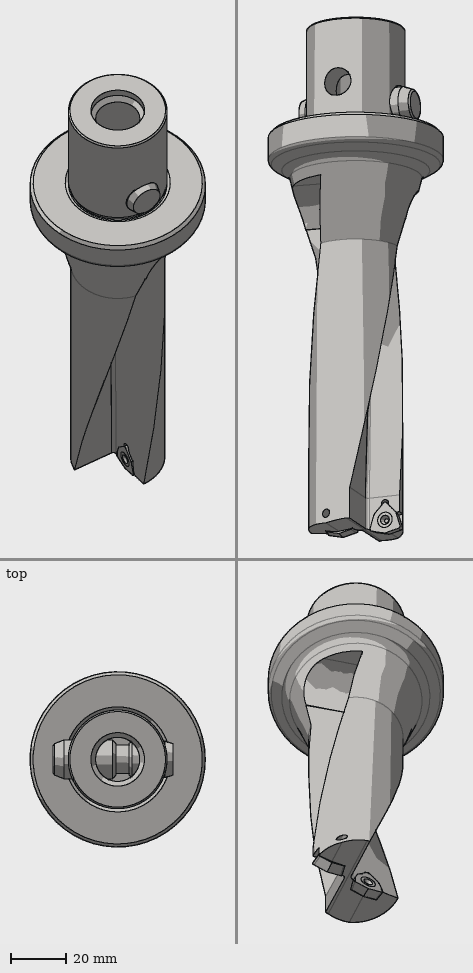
import cadquery as cq
import math

total_height = 190.0
flange_top = 150.7
flange_rim_bottom = 141.2
flange_round_bottom = 139.5
flange_slope_bottom = 137.2
cone_top = 134.3
cone_bottom = 106.8
body_bottom = 1.3

end_slope = 0.11

shank_radius = 17.9
flange_radius = 31.7
flange_round_radius = 30.5
flange_slope_radius = 26.8
cone_top_radius = 24.0
drill_radius = 17.1

shank_chamfer = 0.5
flange_chamfer = 1.1
groove_outer_radius = 19.0
groove_depth = 0.5
undercut = 0.5
undercut_top = 151.6

bore_radius = 8.0
counterbore_radius = 9.7
counterbore_depth = 2.8
bore_cone_depth = 1.7
bore_bottom = 151.5

pin_height = 159.5
pin_radius = 7.0
pin_hole_height = 159.6
pin_hole_radius = 7.5
hole_step_x = 0.2
pin_face_x = -23.4
pin_face_radius = 5.0
pin_round_x = -22.8
pin_round_radius = 5.7
pin_cone_x = -19.4
pin_shoulder_x = -0.5
pin_chamfer = 1.3
stud_radius = 5.1
stud_end_x = 11.4
nut_radius = 6.6
nut_face_radius = 5.7
nut_start_x = 4.2
nut_chamfer = 1.0
nut_cone_x = 17.1
nut_face_x = 20.0

side_hole_radius = 5.1
side_hole_height = 166.0

flute_corner_round = 1.1
flute_reach = 3.0
flute_sections = 7
flute_overrun = 1.9
flute_top = 130.3
runout_radius = 13.3
runout_start = flute_top - runout_radius

far = 76.0

insert_center_height = 5.0
insert_corner_distance = 7.0
insert_corner_round = 0.8
insert_thickness = 4.0
insert_clearance_angle = 7
pocket_relief_radius = 1.3
pocket_relief_offset = 6.3
screw_head_radius = 2.8
screw_shaft_radius = 1.5
screw_head_depth = 2.5
screw_length = 10.5
screw_tip_chamfer = 0.8
screw_socket_radius = 1.7
screw_socket_floor_radius = 0.8
screw_socket_depth = 1.5

insert_seats = [
    {"offset": 5.0, "turn": 0, "open_side": False},
    {"offset": 11.4, "turn": 180, "open_side": True},
]

flutes = [
    {
        "turn": 0,
        "corner_x": -2.3,
        "start": 0.0,
        "wall_angle": -99.5,
        "rake_twist": 0.6053,
        "wall_twist": 0.8421,
    },
    {
        "turn": 180,
        "corner_x": 4.2,
        "start": 13.7,
        "wall_angle": -75.0,
        "rake_twist": 0.6053,
        "wall_twist": 0.7368,
    },
]


def about_axis(shape, angle):
    return shape.rotate((0, 0, 0), (0, 0, 1), angle)


def turned_along_x(outline, height):
    """Solid of revolution about the axis along X at a height, from (x, radius) points."""
    turned = cq.Workplane("XY").polyline(outline).close().revolve(360, (0, 0, 0), (1, 0, 0))
    return turned.translate((0, 0, height))


def turned_blank():
    groove_bottom = flange_top - groove_depth
    profile = (
        cq.Workplane("XZ")
        .moveTo(0, body_bottom)
        .lineTo(drill_radius, body_bottom)
        .lineTo(drill_radius, cone_bottom)
        .lineTo(cone_top_radius, cone_top)
        .tangentArcPoint((flange_slope_radius, flange_slope_bottom), relative=False)
        .lineTo(flange_round_radius, flange_round_bottom)
        .tangentArcPoint((flange_radius, flange_rim_bottom), relative=False)
        .lineTo(flange_radius, flange_top - flange_chamfer)
        .lineTo(flange_radius - flange_chamfer, flange_top)
        .lineTo(groove_outer_radius, flange_top)
        .lineTo(shank_radius, groove_bottom)
        .lineTo(shank_radius - undercut, groove_bottom)
        .lineTo(shank_radius, undercut_top)
        .lineTo(shank_radius, total_height - shank_chamfer)
        .lineTo(shank_radius - shank_chamfer, total_height)
        .lineTo(0, total_height)
        .close()
    )
    return profile.revolve(360, (0, 0, 0), (0, 1, 0))


def bore():
    counterbore_bottom = total_height - counterbore_depth
    outline = [
        (0, bore_bottom),
        (bore_radius, bore_bottom),
        (bore_radius, counterbore_bottom - bore_cone_depth),
        (counterbore_radius, counterbore_bottom),
        (counterbore_radius, total_height),
        (0, total_height),
    ]
    return cq.Workplane("XZ").polyline(outline).close().revolve(360, (0, 0, 0), (0, 1, 0))


def cross_hole():
    """Hole along X: wide for the pin, fitted to the nut beyond the step."""
    pin_end = cq.Workplane("YZ", origin=(hole_step_x, 0, pin_hole_height)).circle(pin_hole_radius)
    nut_end = cq.Workplane("YZ", origin=(hole_step_x, 0, pin_height)).circle(nut_radius)
    return pin_end.extrude(-far).union(nut_end.extrude(far))


def side_hole():
    hole = cq.Workplane("XZ").center(0, side_hole_height).circle(side_hole_radius)
    return hole.extrude(-far)


def polar(radius, angle):
    return cq.Vector(radius * math.cos(math.radians(angle)), radius * math.sin(math.radians(angle)), 0)


def flute_corners(flute, z):
    """Inner corner and the far ends of the rake face and the wall at one height.

    The corner and the wall stop twisting where the runout starts.
    """
    rise = max(0, z - flute["start"])
    rise_of_wall = min(rise, runout_start - flute["start"])
    rake_angle = flute["rake_twist"] * rise
    wall_angle = flute["wall_angle"] + flute["wall_twist"] * rise_of_wall
    corner = polar(flute["corner_x"], flute["rake_twist"] * rise_of_wall)
    rake_end = corner + (polar(drill_radius, rake_angle) - corner) * flute_reach
    wall_end = corner + (polar(drill_radius, wall_angle) - corner) * flute_reach
    return corner, rake_end, wall_end


def flute_section(flute, z):
    lift = cq.Vector(0, 0, z)
    points = [point + lift for point in flute_corners(flute, z)]
    wire = cq.Wire.makePolygon(points, close=True)
    corner = min(wire.Vertices(), key=lambda vertex: (vertex.Center() - points[0]).Length)
    return wire.fillet2D(flute_corner_round, [corner])


def flute_runout(flute):
    """Room below a quarter-round end that swings the wall out to the side of the cone."""
    corner, rake_end, wall_end = flute_corners(flute, runout_start)
    wall_direction = (wall_end - corner).normalized()
    rake_direction = rake_end - corner
    plane = cq.Plane(
        corner - wall_direction * runout_radius,
        rake_direction,
        rake_direction.cross(cq.Vector(0, 0, 1)),
    )
    arc_middle = runout_radius * math.sqrt(0.5)
    outline = (
        cq.Workplane(plane)
        .moveTo(-far, -far)
        .lineTo(-far, runout_start)
        .lineTo(0, runout_start)
        .threePointArc((runout_radius - arc_middle, runout_start + arc_middle), (runout_radius, flute_top))
        .lineTo(far, flute_top)
        .lineTo(far, -far)
        .close()
    )
    return cq.Solid.extrudeLinear(outline.val(), [], wall_direction * far)


def flute_cut(flute):
    start = flute["start"]
    bottom_section = flute_section(flute, -flute_overrun)
    straight = cq.Solid.extrudeLinear(bottom_section, [], cq.Vector(0, 0, start + flute_overrun))
    step = (flute_top + flute_overrun - start) / (flute_sections - 1)
    sections = [flute_section(flute, start + step * index) for index in range(flute_sections)]
    twisted = cq.Workplane(cq.Solid.makeLoft(sections)).intersect(cq.Workplane(flute_runout(flute)))
    return about_axis(twisted.union(cq.Workplane(straight)), flute["turn"])


def seated(shape, seat):
    return about_axis(shape.translate((seat["offset"], 0, insert_center_height)), seat["turn"])


def trigon_blank():
    """Trigon plate: three corners, with blunt points between them."""
    points = []
    for index in range(3):
        corner_angle = math.radians(90 + 120 * index)
        blunt_angle = corner_angle + math.radians(60)
        points.append((insert_corner_distance * math.cos(corner_angle),
                       insert_corner_distance * math.sin(corner_angle)))
        points.append((insert_center_height * math.cos(blunt_angle),
                       insert_center_height * math.sin(blunt_angle)))
    outline = cq.Workplane("XZ").polyline(points).close()
    plate = outline.extrude(-insert_thickness, taper=insert_clearance_angle)

    def is_corner_edge(edge):
        middle = edge.Center()
        on_side = 0 < middle.y < insert_thickness
        return on_side and math.hypot(middle.x, middle.z) > insert_center_height

    return plate.edges().filter(is_corner_edge).fillet(insert_corner_round)


def screw_blank():
    """Countersunk screw along +Y, without its socket."""
    outline = [
        (0, 0),
        (screw_head_radius, 0),
        (screw_shaft_radius, screw_head_depth),
        (screw_shaft_radius, screw_length - screw_tip_chamfer),
        (screw_shaft_radius - screw_tip_chamfer, screw_length),
        (0, screw_length),
    ]
    return cq.Workplane("XY").polyline(outline).close().revolve(360, (0, 0, 0), (0, 1, 0))


def insert(seat):
    plate = trigon_blank().cut(screw_blank())
    return seated(plate, seat)


def screw(seat):
    outline = [
        (0, 0),
        (screw_socket_radius, 0),
        (screw_socket_floor_radius, screw_socket_depth),
        (0, screw_socket_depth),
    ]
    socket = cq.Workplane("XY").polyline(outline).close().revolve(360, (0, 0, 0), (0, 1, 0))
    return seated(screw_blank().cut(socket), seat)


def insert_pocket(seat):
    relief = cq.Workplane("XZ").center(0, pocket_relief_offset).circle(pocket_relief_radius)
    screw_hole = cq.Workplane("XZ").circle(screw_shaft_radius).extrude(-drill_radius)
    pocket = trigon_blank().union(relief.extrude(-insert_thickness)).union(screw_hole)
    if seat["open_side"]:
        blunt_point_rise = insert_center_height * math.sin(math.radians(30))
        opening = cq.Workplane("XY").box(
            drill_radius, insert_thickness, insert_center_height + blunt_point_rise, centered=False
        )
        pocket = pocket.union(opening.translate((0, 0, -insert_center_height)))
    return seated(pocket, seat)


def end_relief():
    """Cuts the end face to a shallow ridge under each insert, with a valley between them."""
    inner_x = insert_seats[0]["offset"]
    outer_x = -insert_seats[1]["offset"]
    middle_x = (inner_x + outer_x) / 2

    def end_height(x):
        nearest = min(abs(x - inner_x), abs(x - outer_x))
        return body_bottom + end_slope * nearest

    edge_x = 2 * drill_radius
    outline = [(x, end_height(x)) for x in (-edge_x, outer_x, middle_x, inner_x, edge_x)]
    outline += [(edge_x, -far), (-edge_x, -far)]
    return cq.Workplane("XZ").polyline(outline).close().extrude(drill_radius, both=True)


def drill_body():
    body = turned_blank().cut(end_relief())
    for flute in flutes:
        body = body.cut(flute_cut(flute))
    for seat in insert_seats:
        body = body.cut(insert_pocket(seat))
    return body.cut(bore()).cut(cross_hole()).cut(side_hole())


def clamping_pin():
    outline = [
        (pin_face_x, 0),
        (pin_face_x, pin_face_radius),
        (pin_round_x, pin_round_radius),
        (pin_cone_x, pin_radius),
        (pin_shoulder_x - pin_chamfer, pin_radius),
        (pin_shoulder_x, pin_radius - pin_chamfer),
        (pin_shoulder_x, stud_radius),
        (stud_end_x, stud_radius),
        (stud_end_x, 0),
    ]
    return turned_along_x(outline, pin_height)


def clamping_nut():
    outline = [
        (nut_start_x, stud_radius),
        (nut_start_x, nut_radius - nut_chamfer),
        (nut_start_x + nut_chamfer, nut_radius),
        (nut_cone_x, nut_radius),
        (nut_face_x, nut_face_radius),
        (nut_face_x, 0),
        (stud_end_x, 0),
        (stud_end_x, stud_radius),
    ]
    return turned_along_x(outline, pin_height)


body = drill_body()
pin = clamping_pin()
nut = clamping_nut()
inserts = [insert(seat).val() for seat in insert_seats]
screws = [screw(seat).val() for seat in insert_seats]

result = cq.Compound.makeCompound([body.val(), pin.val(), nut.val(), *inserts, *screws])